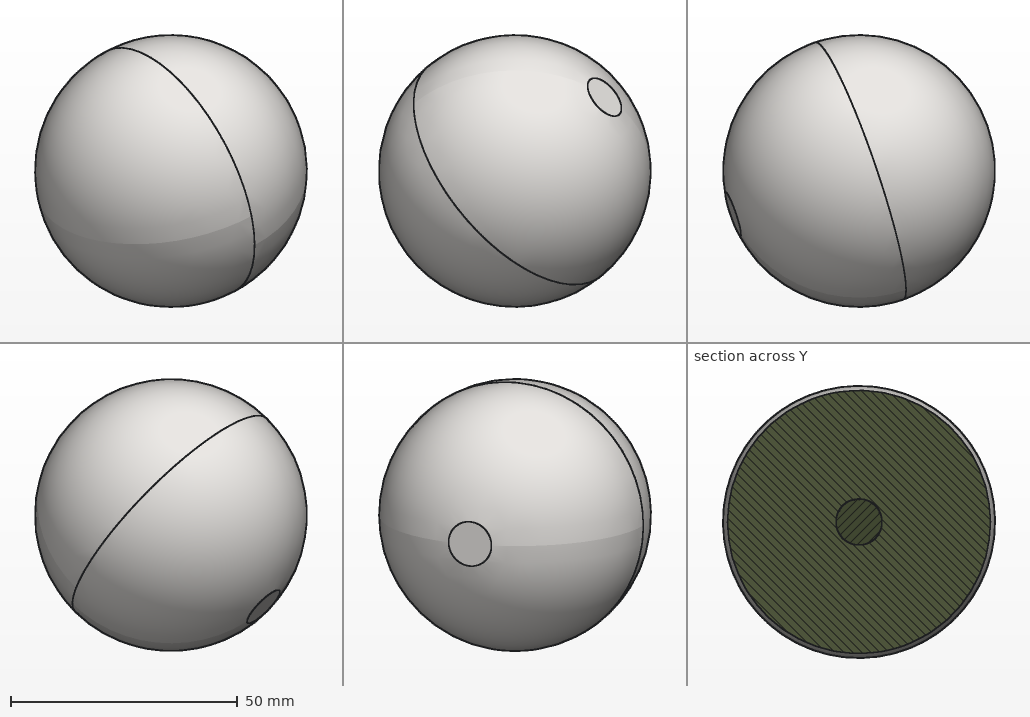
import cadquery as cq
import math

ball_diameter = 60.0
ball_radius = ball_diameter / 2
front_tilt = 15.6
half_turn = 180.0
seam_turn = 45.0

pin_diameter = 10.0
pin_radius = pin_diameter / 2
pin_end = math.sqrt(ball_radius**2 - pin_radius**2)
pin_depth_in_front = ball_radius / 2


def pin_rod(end):
    """A rod of the pin's diameter, from the bottom of the pin hole out to Y = end."""
    return (
        cq.Workplane("XZ", origin=(0, end, 0))
        .circle(pin_radius)
        .extrude(end + pin_depth_in_front)
    )


def hole_cutter():
    """The pin shape carried on past the ball surface, so the hole is open.

    It is turned so that its seam stays clear of both hemisphere equators.
    """
    return pin_rod(ball_diameter).rotate((0, 0, 0), (0, 1, 0), seam_turn)


def plain_hemisphere():
    """The +Y half of the ball, with an upper and a lower face that meet at the equator."""
    diagonal = ball_radius * math.sqrt(0.5)
    return (
        cq.Workplane("XZ")
        .moveTo(0, -ball_radius)
        .threePointArc((diagonal, -diagonal), (ball_radius, 0))
        .threePointArc((diagonal, diagonal), (0, ball_radius))
        .close()
        .revolve(half_turn, (0, 0, 0), (0, 1, 0), clean=False)
    )


def back_hemisphere():
    """The +Y hemisphere, with the pin hole right through it."""
    return plain_hemisphere().cut(hole_cutter(), clean=False)


def front_hemisphere():
    """The -Y hemisphere, turned about the pin, with a blind pin hole."""
    hemisphere = (
        plain_hemisphere()
        .rotate((0, 0, 0), (0, 0, 1), half_turn)
        .rotate((0, 0, 0), (0, 1, 0), -front_tilt)
    )
    return hemisphere.cut(hole_cutter(), clean=False)


back = back_hemisphere()
front = front_hemisphere()
pivot_pin = pin_rod(pin_end)

result = cq.Compound.makeCompound([back.val(), front.val(), pivot_pin.val()])